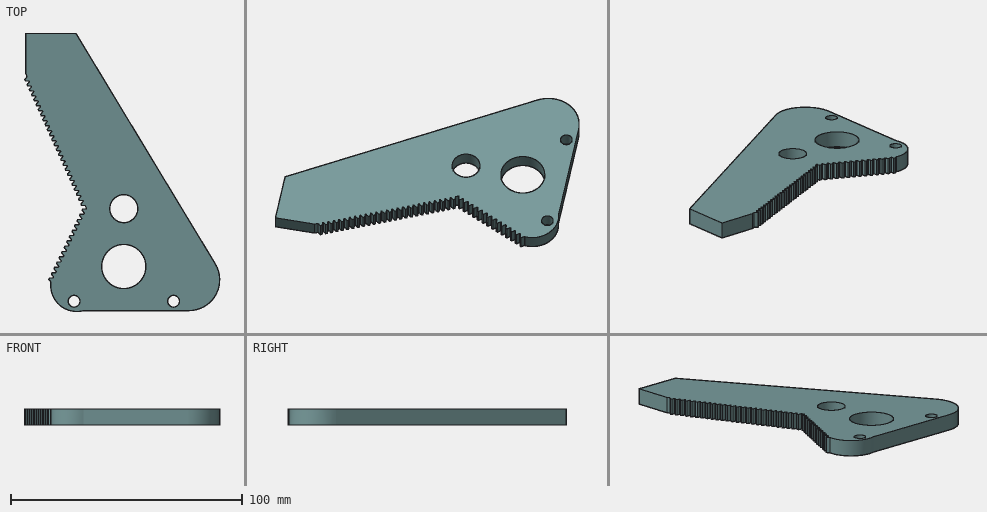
import cadquery as cq
import math

THICKNESS = 7.0

MAIN_BORE_DIAMETER = 19.0
PIVOT_BORE_DIAMETER = 12.0
PIVOT_BORE_Y = 25.0
PIN_HOLE_DIAMETER = 5.0
PIN_HOLE_X = 21.5
PIN_HOLE_Y = -15.0

BOTTOM_Y = -19.12
TOP_Y = 100.72
LEFT_EDGE_X = -42.44
TOP_WIDTH = 21.83

RIGHT_CORNER_RADIUS = 13.37
RIGHT_CORNER_X = 28.13
LEFT_CORNER_RADIUS = 11.4
LEFT_CORNER_END_X = -17.25

UPPER_ROW_START_Y = 83.41
NOTCH_X = -16.14
NOTCH_Y = 25.02
LOWER_ROW_END_X = -31.59
LOWER_ROW_END_Y = -7.0

TOOTH_DEPTH = 1.4
TOOTH_TIP_WIDTH = 0.72
TOOTH_BASE_WIDTH = 2.08
UPPER_TOOTH_COUNT = 26
UPPER_PITCH = 2.361
UPPER_FIRST_TOOTH = 2.55
LOWER_TOOTH_COUNT = 14
LOWER_PITCH = 2.55
LOWER_FIRST_TOOTH = 1.11


def tooth_row(start, end, count, pitch, first_tooth):
    """Corner points of teeth standing on the right-hand side of the line start-end."""
    length = math.dist(start, end)
    along_x = (end[0] - start[0]) / length
    along_y = (end[1] - start[1]) / length
    tooth = (
        (-TOOTH_BASE_WIDTH / 2, 0),
        (-TOOTH_TIP_WIDTH / 2, TOOTH_DEPTH),
        (TOOTH_TIP_WIDTH / 2, TOOTH_DEPTH),
        (TOOTH_BASE_WIDTH / 2, 0),
    )
    points = []
    for index in range(count):
        middle = first_tooth + index * pitch
        for offset, height in tooth:
            distance = middle + offset
            x = start[0] + along_x * distance + along_y * height
            y = start[1] + along_y * distance - along_x * height
            points.append((x, y))
    return points


def toothed_edge():
    """Points from the left edge, along both rows of teeth, to the left corner."""
    row_start = (LEFT_EDGE_X, UPPER_ROW_START_Y)
    notch = (NOTCH_X, NOTCH_Y)
    row_end = (LOWER_ROW_END_X, LOWER_ROW_END_Y)
    upper_teeth = tooth_row(row_start, notch, UPPER_TOOTH_COUNT, UPPER_PITCH, UPPER_FIRST_TOOTH)
    lower_teeth = tooth_row(notch, row_end, LOWER_TOOTH_COUNT, LOWER_PITCH, LOWER_FIRST_TOOTH)
    return [row_start, *upper_teeth, notch, *lower_teeth, row_end]


def right_corner_point(angle):
    """Point on the right corner circle; the angle runs counterclockwise from +X."""
    x = RIGHT_CORNER_X + RIGHT_CORNER_RADIUS * math.cos(angle)
    y = BOTTOM_Y + RIGHT_CORNER_RADIUS + RIGHT_CORNER_RADIUS * math.sin(angle)
    return (x, y)


def make_plate():
    top_left = (LEFT_EDGE_X, TOP_Y)
    top_right = (LEFT_EDGE_X + TOP_WIDTH, TOP_Y)

    right_centre = (RIGHT_CORNER_X, BOTTOM_Y + RIGHT_CORNER_RADIUS)
    direction_to_top = math.atan2(top_right[1] - right_centre[1], top_right[0] - right_centre[0])
    tangent_turn = math.acos(RIGHT_CORNER_RADIUS / math.dist(top_right, right_centre))
    bottom_angle = -math.pi / 2
    slant_angle = direction_to_top - tangent_turn
    middle_angle = (bottom_angle + slant_angle) / 2

    outline = cq.Workplane("XY").moveTo(*top_left)
    for point in toothed_edge():
        outline = outline.lineTo(*point)

    return (
        outline
        .radiusArc((LEFT_CORNER_END_X, BOTTOM_Y), -LEFT_CORNER_RADIUS)
        .lineTo(*right_corner_point(bottom_angle))
        .threePointArc(right_corner_point(middle_angle), right_corner_point(slant_angle))
        .lineTo(*top_right)
        .close()
        .extrude(THICKNESS)
    )


def make_bores(diameter, centres):
    return cq.Workplane("XY").pushPoints(centres).circle(diameter / 2).extrude(THICKNESS)


result = (
    make_plate()
    .cut(make_bores(MAIN_BORE_DIAMETER, [(0, 0)]))
    .cut(make_bores(PIVOT_BORE_DIAMETER, [(0, PIVOT_BORE_Y)]))
    .cut(make_bores(PIN_HOLE_DIAMETER, [(-PIN_HOLE_X, PIN_HOLE_Y), (PIN_HOLE_X, PIN_HOLE_Y)]))
)